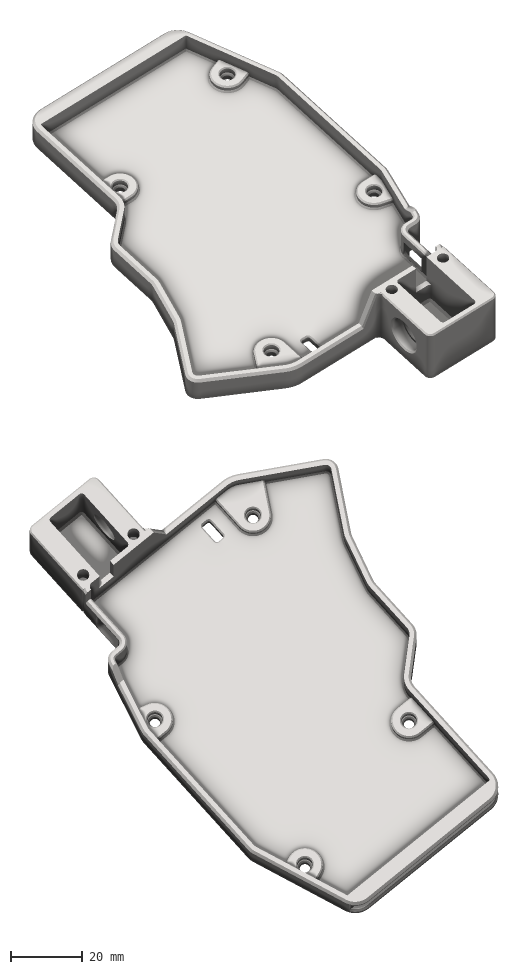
import cadquery as cq
import math

floor_thickness = 2.0
rim_height = 8.0
raised_rim_height = 11.0
box_height = 18.5
boss_height = 2.0

wall_thickness = 2.0
rim_chamfer = 0.7
small_chamfer = 0.5
base_chamfer = 0.5

right_x = 121.2
top_y = 93.3
bottom_y = 26.3
box_back_y = 81.0
step_x = 102.1
step_y = 14.7
end_radius = 6.0
bend_radius = 5.0
shoulder_radius = 4.3
step_radius = 3.1
tip_radius = 3.6
minor_radius = 5.0
hip_radius = 10.0
inner_corner_radius = 1.5
step_inner_radius = 1.6

left_slope_angle = 20
right_slope_angle = 15
tail_angle = 30
top_left_x = 32.5
top_right_x = 79.0
tail_start_x = 70.8
tail_bend = (85.5, 10.5)
bottom_right_x = 41.6
step_left_x = 52.0


def tan_deg(angle):
    return math.tan(math.radians(angle))


tip_y = tip_radius * (1 - math.sqrt(2) * math.cos(math.radians(45 - tail_angle)))
tip_x = tail_bend[0] + (tail_bend[1] - tip_y) / tan_deg(tail_angle)
hip_y = tip_y + (right_x - tip_x) / tan_deg(tail_angle)

tray_corners = [
    (0, bottom_y, end_radius),
    (bottom_right_x, bottom_y, shoulder_radius),
    (step_left_x, step_y, bend_radius),
    (tail_start_x, step_y, minor_radius),
    (tail_bend[0], tail_bend[1], minor_radius),
    (tip_x, tip_y, tip_radius),
    (right_x, hip_y, hip_radius),
    (right_x, box_back_y, inner_corner_radius + wall_thickness),
    (step_x, box_back_y, step_inner_radius),
    (step_x, top_y - (step_x - top_right_x) * tan_deg(right_slope_angle), step_radius),
    (top_right_x, top_y, minor_radius),
    (top_left_x, top_y, minor_radius),
    (0, top_y - top_left_x * tan_deg(left_slope_angle), end_radius),
]

left_wall_thickness = 4.9
slot_depth = 2.7
slot_bottom = 2.1
slot_top = 6.0
slot_chamfer = 0.6

ramp_start_x = 94.3
ramp_end_x = 98.5
window_x = (103.4, 111.6)
window_z = (2.6, 8.0)
window_flare_angle = 40

box_right_x = 143.0
box_front_y = 56.0
box_corner_radius = 2.0
box_joint_radius = 1.1
box_column_x = 117.7
gusset_top_y = 54.6
gusset_foot_y = 49.9
cavity_x = (120.7, 141.3)
cavity_y = (62.1, 74.5)
cavity_base_chamfer = 0.7
cavity_radius = 1.0
notch_y = (69.4, cavity_y[1])
notch_bottom = 8.5
pin_hole_diameter = 3.5
pin_hole_depth = 7.2
pin_holes = [(122.5, 77.8), (122.5, 59.2)]
port_center = (131.7, 9.5)
port_recess_diameter = 10.6
port_bore_diameter = 9.0
port_chamfer = 0.5
port_recess_depth = 3.9
port_roof_angle = 30

floor_slot_center = (113.0, 38.0)
floor_slot_size = (6.6, 2.9)
floor_slot_radius = 0.7
floor_slot_chamfer = 0.5
boss_radius = 5.0
boss_reach = 18.6
screw_hole_diameter = 3.0
insert_diameter = 4.5
insert_depth = 2.0
insert_chamfer = 0.36
insert_seat_chamfer = 0.5
bosses = [
    ((20.6, 83.3), 90 + left_slope_angle, 90 + left_slope_angle),
    ((80.7, 87.1), 90, 90 - right_slope_angle),
    ((34.0, 33.3), -90, -90),
    ((108.7, 26.9), 0, -tail_angle),
]


def rounded_outline(corners):
    """Closed wire through sharp corners, each replaced by a tangent arc."""
    arcs = []
    for i, (x, y, radius) in enumerate(corners):
        corner = cq.Vector(x, y)
        before = cq.Vector(*corners[i - 1][:2])
        after = cq.Vector(*corners[(i + 1) % len(corners)][:2])
        to_before = (before - corner).normalized()
        to_after = (after - corner).normalized()
        half_angle = to_before.getAngle(to_after) / 2
        tangent = radius / math.tan(half_angle)
        bisector = (to_before + to_after).normalized()
        middle = corner + bisector * (radius / math.sin(half_angle) - radius)
        arcs.append((corner + to_before * tangent, middle, corner + to_after * tangent))
    outline = cq.Workplane("XY").moveTo(*arcs[0][0].toTuple()[:2])
    for i, (start, middle, end) in enumerate(arcs):
        if i > 0:
            outline = outline.lineTo(start.x, start.y)
        outline = outline.threePointArc((middle.x, middle.y), (end.x, end.y))
    return outline.close()


def block(x_range, y_range, z_range):
    size = [high - low for low, high in (x_range, y_range, z_range)]
    return cq.Workplane("XY").box(*size, centered=False).translate((x_range[0], y_range[0], z_range[0]))


def tray_prism(height):
    """Solid tray outline with its outer top and bottom edges broken."""
    prism = rounded_outline(tray_corners).extrude(height)
    return prism.faces(">Z").chamfer(rim_chamfer).faces("<Z").chamfer(small_chamfer)


def slotted_tray():
    """Tray blank with the open slot along its left edge."""
    slab = block((-1.5, slot_depth), (-1.5, top_y + 1.5), (slot_bottom, slot_top))
    mouth = cq.selectors.BoxSelector((-1.5, 0, slot_bottom - 0.1), (slot_depth - 0.3, top_y, slot_top + 0.1))
    return tray_prism(rim_height).cut(slab).edges(mouth).chamfer(slot_chamfer)


def raised_rim():
    """Higher rim that ramps up before the stepped corner, and the full-height column by the box."""
    ramp = (
        cq.Workplane("XZ", origin=(0, top_y, 0))
        .polyline([
            (ramp_start_x, floor_thickness),
            (ramp_start_x, rim_height),
            (ramp_end_x, raised_rim_height),
            (right_x, raised_rim_height),
            (right_x, floor_thickness),
        ])
        .close()
        .extrude(top_y - box_back_y + 2 * wall_thickness)
    )
    column = block((box_column_x, right_x), (box_front_y, top_y), (0, box_height))
    inner_chamfer = (
        rounded_outline(tray_corners)
        .offset2D(small_chamfer - wall_thickness)
        .extrude(small_chamfer, taper=45)
        .mirror("XY")
        .translate((0, 0, raised_rim_height))
    )
    raised = tray_prism(raised_rim_height).intersect(ramp).cut(inner_chamfer)
    return raised.union(tray_prism(box_height).intersect(column))


def connector_box():
    """Box on the right side, with the sloping gusset on the tray wall."""
    inner_x = right_x - wall_thickness
    box = (
        block((inner_x, box_right_x), (box_front_y, box_back_y), (0, box_height))
        .edges("|Z and >X").fillet(box_corner_radius)
        .faces(">Z").edges(">X or >Y or <Y").chamfer(small_chamfer)
        .faces("<Z").edges(">X or >Y or <Y").chamfer(small_chamfer)
    )
    gusset = (
        cq.Workplane("YZ", origin=(inner_x, 0, 0))
        .polyline([
            (gusset_foot_y, floor_thickness),
            (gusset_foot_y, rim_height),
            (gusset_top_y, box_height),
            (box_back_y - wall_thickness, box_height),
            (box_back_y - wall_thickness, floor_thickness),
        ])
        .close()
        .extrude(wall_thickness)
        .faces(">X").edges("not(|Y or |Z)").chamfer(small_chamfer)
    )
    joint = (
        block((right_x, right_x + box_joint_radius), (box_front_y - box_joint_radius, box_front_y), (0, box_height))
        .cut(
            cq.Workplane("XY")
            .center(right_x + box_joint_radius, box_front_y - box_joint_radius)
            .circle(box_joint_radius)
            .extrude(box_height)
        )
    )
    return box.union(gusset).union(joint)


def polar(center, distance, angle):
    """Point at a distance and angle (degrees from +X) from a centre."""
    radians = math.radians(angle)
    return (center[0] + distance * math.cos(radians), center[1] + distance * math.sin(radians))


def boss(center, left_direction, right_direction):
    """Round screw boss whose two flanks run out to the tray wall."""
    left = polar(center, boss_radius, left_direction + 90)
    right = polar(center, boss_radius, right_direction - 90)
    back = polar(center, boss_radius, (left_direction + right_direction) / 2 + 180)
    return (
        cq.Workplane("XY")
        .moveTo(*left)
        .threePointArc(back, right)
        .lineTo(*polar(right, boss_reach, right_direction))
        .lineTo(*polar(left, boss_reach, left_direction))
        .close()
        .extrude(floor_thickness + boss_height)
        .faces(">Z").chamfer(small_chamfer)
    )


def interior():
    """Open space of the tray above the floor, around the bosses."""
    space = (
        rounded_outline(tray_corners)
        .offset2D(-wall_thickness)
        .extrude(box_height)
        .intersect(block((left_wall_thickness, right_x), (0, top_y), (floor_thickness, box_height)))
    )
    for center, left_direction, right_direction in bosses:
        space = space.cut(boss(center, left_direction, right_direction))
    return space.faces("<Z").edges().chamfer(base_chamfer)


def screw_holes():
    """Through holes widened at the boss top for inserts."""
    top = floor_thickness + boss_height
    centers = [center for center, left_direction, right_direction in bosses]
    through = cq.Workplane("XY").pushPoints(centers).circle(screw_hole_diameter / 2).extrude(top)
    insert = (
        cq.Workplane("XY", origin=(0, 0, top - insert_depth))
        .pushPoints(centers)
        .circle(insert_diameter / 2)
        .extrude(insert_depth)
    )
    mouth = (
        cq.Workplane("XY", origin=(0, 0, top))
        .pushPoints(centers)
        .circle(insert_diameter / 2 + insert_chamfer)
        .extrude(-insert_chamfer, taper=45)
    )
    seat = (
        cq.Workplane("XY", origin=(0, 0, top - insert_depth))
        .pushPoints(centers)
        .circle(screw_hole_diameter / 2 + insert_seat_chamfer)
        .extrude(-insert_seat_chamfer, taper=45)
    )
    return through.union(insert).union(mouth).union(seat)


def box_openings():
    """Box cavity, its side notch, the pin holes and the front port."""
    cavity = (
        block(cavity_x, cavity_y, (floor_thickness, box_height))
        .edges("|Z").fillet(cavity_radius)
        .faces("<Z").chamfer(cavity_base_chamfer)
    )
    notch = block((box_column_x, cavity_x[0] + cavity_radius), notch_y, (notch_bottom, box_height))
    pins = (
        cq.Workplane("XY", origin=(0, 0, box_height))
        .pushPoints(pin_holes)
        .circle(pin_hole_diameter / 2)
        .extrude(-pin_hole_depth)
    )
    port_plane = cq.Workplane("XZ", origin=(port_center[0], box_front_y, port_center[1]))
    recess = port_plane.circle(port_recess_diameter / 2).extrude(-port_recess_depth)
    port_mouth = port_plane.circle(port_recess_diameter / 2 + port_chamfer).extrude(-port_chamfer, taper=45)
    radius = port_bore_diameter / 2
    side_x = radius * math.sin(math.radians(port_roof_angle))
    side_z = radius * math.cos(math.radians(port_roof_angle))
    bore = (
        port_plane
        .moveTo(-side_x, side_z)
        .threePointArc((0, -radius), (side_x, side_z))
        .lineTo(0, radius / math.cos(math.radians(port_roof_angle)))
        .close()
        .extrude(-(cavity_y[0] - box_front_y + cavity_radius))
    )
    return cavity.union(notch).union(pins).union(recess).union(port_mouth).union(bore)


def floor_slot():
    """Slot through the floor with a chamfered mouth."""
    length, width = floor_slot_size
    slot = (
        cq.Workplane("XY", origin=(*floor_slot_center, 0))
        .rect(length, width)
        .extrude(floor_thickness)
        .edges("|Z").fillet(floor_slot_radius)
    )
    mouth = (
        cq.Workplane("XY", origin=(*floor_slot_center, floor_thickness))
        .sketch()
        .rect(length + 2 * floor_slot_chamfer, width + 2 * floor_slot_chamfer)
        .vertices().fillet(floor_slot_radius + floor_slot_chamfer)
        .finalize()
        .extrude(-floor_slot_chamfer, taper=45)
    )
    return slot.union(mouth)


def wall_window():
    """Opening through the raised rim, flared towards the outside."""
    inner_face_y = box_back_y - wall_thickness
    return (
        cq.Workplane("XZ", origin=(sum(window_x) / 2, inner_face_y, sum(window_z) / 2))
        .rect(window_x[1] - window_x[0], window_z[1] - window_z[0])
        .extrude(-wall_thickness, taper=-window_flare_angle)
    )


result = (
    slotted_tray()
    .union(raised_rim())
    .union(connector_box())
    .cut(interior())
    .cut(screw_holes())
    .cut(box_openings())
    .cut(floor_slot())
    .cut(wall_window())
)